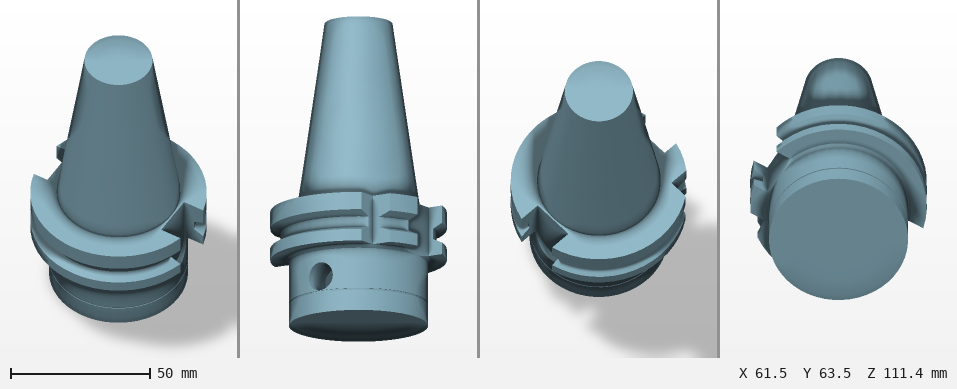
import cadquery as cq

total_height = 111.4
relief_bottom = 7.5
relief_top = 8.1
neck_bottom = 23.0
flange_bottom = 24.1
flange_top = 42.0
taper_bottom = 43.0

body_diameter = 50.0
relief_diameter = 49.5
flange_diameter = 63.5
vee_root_diameter = 56.0
taper_diameter = 44.5
taper_ratio = 7 / 24

vee_center = 32.0
vee_mouth_width = 7.2
vee_root_width = 3.8

slot_width = 15.9
shallow_slot_floor = body_diameter / 2
deep_slot_floor = 22.7
slot_round_center = 23.6

notch_x = 18.4
notch_y = 18.5

screw_diameter = 10.2
screw_height = 13.4
screw_depth = 11.1


def turned_blank():
    """Revolve the nose, grooved flange and taper about Z."""
    body_r = body_diameter / 2
    relief_r = relief_diameter / 2
    flange_r = flange_diameter / 2
    vee_root_r = vee_root_diameter / 2
    taper_r = taper_diameter / 2
    neck_r = body_r + flange_bottom - neck_bottom
    tip_r = taper_r - taper_ratio * (total_height - taper_bottom) / 2
    profile = [
        (0, 0),
        (body_r, 0),
        (body_r, relief_bottom),
        (relief_r, relief_bottom),
        (relief_r, relief_top),
        (body_r, relief_top),
        (body_r, neck_bottom),
        (neck_r, flange_bottom),
        (flange_r, flange_bottom),
        (flange_r, vee_center - vee_mouth_width / 2),
        (vee_root_r, vee_center - vee_root_width / 2),
        (vee_root_r, vee_center + vee_root_width / 2),
        (flange_r, vee_center + vee_mouth_width / 2),
        (flange_r, flange_top),
        (taper_r, flange_top),
        (taper_r, taper_bottom),
        (tip_r, total_height),
        (0, total_height),
    ]
    return cq.Workplane("XZ").polyline(profile).close().revolve(360, (0, 0), (0, 1))


def drive_slot(floor, side):
    """Slot cutter with a round lower end; side is +1 for +X and -1 for -X."""
    half_width = slot_width / 2
    return (
        cq.Workplane("YZ", origin=(side * floor, 0, 0))
        .moveTo(-half_width, flange_top)
        .lineTo(-half_width, slot_round_center)
        .threePointArc((0, slot_round_center - half_width), (half_width, slot_round_center))
        .lineTo(half_width, flange_top)
        .close()
        .extrude(side * (flange_diameter / 2 - floor))
    )


def corner_notch():
    """Square-cornered cutter through the full flange thickness at -X, +Y."""
    flange_r = flange_diameter / 2
    return cq.Workplane("XY").box(
        flange_r - notch_x, flange_r - notch_y, flange_top - flange_bottom, centered=False
    ).translate((-flange_r, notch_y, flange_bottom))


def screw_hole():
    """Radial blind hole cutter, running inward from the +Y side."""
    return (
        cq.Workplane("XZ", origin=(0, body_diameter / 2, screw_height))
        .circle(screw_diameter / 2)
        .extrude(screw_depth)
    )


result = (
    turned_blank()
    .cut(drive_slot(shallow_slot_floor, -1))
    .cut(drive_slot(deep_slot_floor, 1))
    .cut(corner_notch())
    .cut(screw_hole())
)